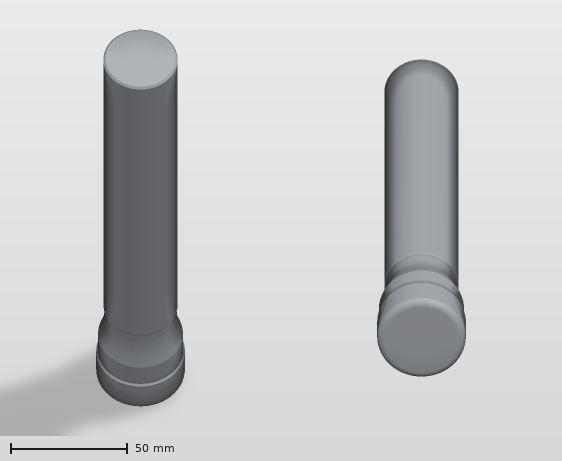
import cadquery as cq

total_length = 227.7
barrel_radius = 16.0
neck_radius = 15.5
collar_radius = 18.2
head_radius = 38.0 / 2

head_top = 17.3
collar_top = 29.1
flare_top = 44.2
barrel_bottom = 49.5

cap_height = 5.0
cap_bottom = total_length - cap_height
head_rounding = 3.2
cap_chamfer = 1.0
head_chamfer = head_radius - collar_radius
barrel_chamfer = barrel_radius - neck_radius


def make_body():
    """Solid body of revolution with a wide head, flared collar, neck and long barrel."""
    outline = (
        cq.Workplane("XZ")
        .moveTo(0, cap_bottom)
        .lineTo(barrel_radius, cap_bottom)
        .lineTo(barrel_radius, barrel_bottom + barrel_chamfer)
        .lineTo(neck_radius, barrel_bottom)
        .lineTo(neck_radius, flare_top)
        .tangentArcPoint((collar_radius, collar_top), relative=False)
        .lineTo(collar_radius, head_top)
        .lineTo(head_radius, head_top - head_chamfer)
        .lineTo(head_radius, head_rounding)
        .tangentArcPoint((head_radius - head_rounding, 0), relative=False)
        .lineTo(0, 0)
        .close()
    )
    return outline.revolve(360, (0, 0), (0, 1))


def make_end_cap():
    """Disc flush with the barrel, closing its upper end, with a chamfered top edge."""
    disc = cq.Workplane("XY").workplane(offset=cap_bottom).circle(barrel_radius).extrude(cap_height)
    return disc.faces(">Z").edges().chamfer(cap_chamfer)


body = make_body()
end_cap = make_end_cap()

result = cq.Compound.makeCompound([body.val(), end_cap.val()])